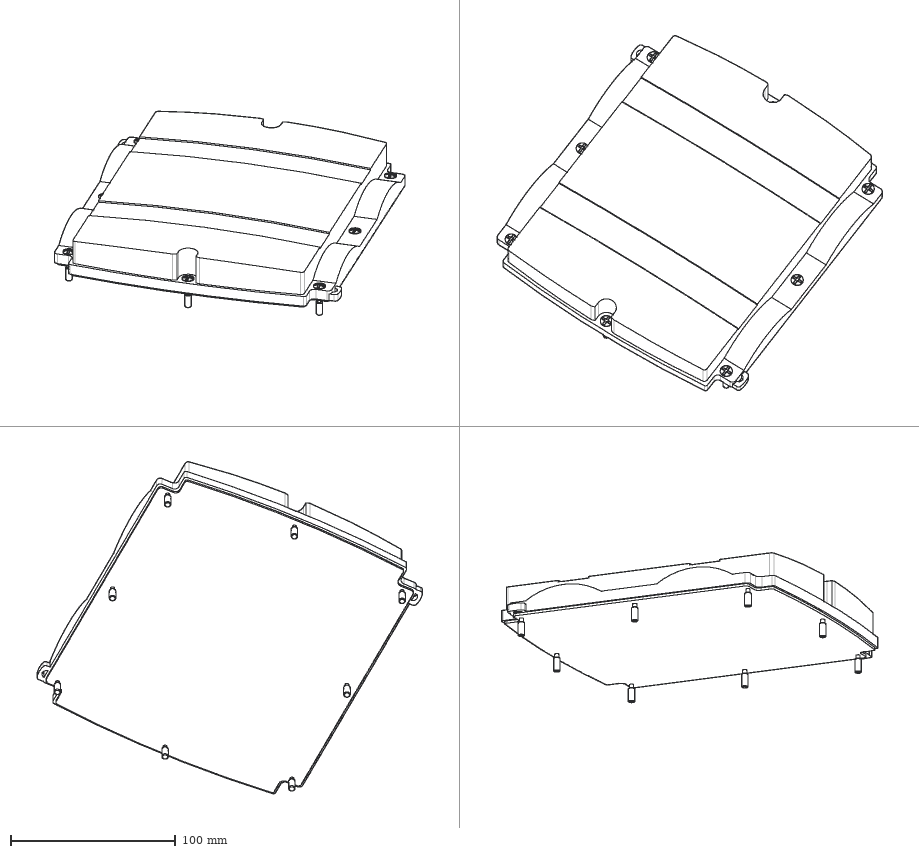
import cadquery as cq
import math

gasket_depth = 1.5
flange_top = 6.6
hump_top = 14.0
cover_crown = 24.5
cover_shoulder = 21.7
screw_tip = -12.5
thread_top = -3.7

body_half_x = 75.5
body_half_y = 95.31
body_bow = 3.75
ear_half_x = 88.0
ear_half_y = 80.5
body_corner_radius = 1.5
ear_corner_radius = 2.5
ear_web_radius = 3.0
gasket_inset = 1.4

cover_half_x = 73.4
cover_half_y = 93.6
cover_bow = 4.1
cover_corner_radius = 2.0
notch_radius = 6.0
notch_mouth_half = 9.5
notch_mouth_depth = 0.9
notch_mouth_bulge = 0.26

hump_center_y = 44.0
hump_half_length = 25.4
recess_width = 20.4
recess_depth = 1.0

side_screw_x = 79.5
corner_screw_y = 76.0
end_screw_y = 89.2
head_radius = 3.7
head_height = 1.4
head_rim_height = 0.4
thread_radius = 2.0
thread_chamfer = 0.5
neck_radius = 1.3
cross_length = 6.4
cross_width = 1.2
cross_depth = 1.0

lug_tip_x = 92.5
lug_center_y = 74.5
lug_half_y = 5.6
lug_height = 4.5
lug_tip_bow = 1.0
lug_corner_radius = 2.0
lug_hole_x = 87.6
lug_hole_radius = 2.7


def bowed_slab(half_x, half_y, bow, bottom, top):
    """Slab with straight X sides and outward-bowed Y ends."""
    corner_y = half_y - bow
    return (
        cq.Workplane("XY", origin=(0, 0, bottom))
        .moveTo(-half_x, -corner_y)
        .threePointArc((0, -half_y), (half_x, -corner_y))
        .lineTo(half_x, corner_y)
        .threePointArc((0, half_y), (-half_x, corner_y))
        .close()
        .extrude(top - bottom)
    )


def flange_plate(inset, bottom, top):
    """Bowed body joined to the ears, with every outline set in by the given amount."""
    thickness = top - bottom
    body = bowed_slab(body_half_x - inset, body_half_y - inset, body_bow, bottom, top)
    body = body.edges("|Z").fillet(body_corner_radius)
    ears = (
        cq.Workplane("XY", origin=(0, 0, bottom))
        .rect(2 * (ear_half_x - inset), 2 * (ear_half_y - inset))
        .extrude(thickness)
        .edges("|Z")
        .fillet(ear_corner_radius)
    )
    plate = body.union(ears)
    for side_x in (-1, 1):
        for side_y in (-1, 1):
            corner_x = side_x * (body_half_x - inset)
            corner_y = side_y * (ear_half_y - inset)
            reach = ear_web_radius * (1 - math.sqrt(0.5))
            corner_web = (
                cq.Workplane("XY", origin=(0, 0, bottom))
                .moveTo(corner_x, corner_y)
                .lineTo(corner_x + side_x * ear_web_radius, corner_y)
                .threePointArc(
                    (corner_x + side_x * reach, corner_y + side_y * reach),
                    (corner_x, corner_y + side_y * ear_web_radius),
                )
                .close()
                .extrude(thickness)
            )
            plate = plate.union(corner_web)
    return plate


def hump(center_y):
    """Arched rise across the full width of the ears."""
    return (
        cq.Workplane("YZ", origin=(-ear_half_x, 0, 0))
        .moveTo(center_y - hump_half_length, flange_top)
        .threePointArc((center_y, hump_top), (center_y + hump_half_length, flange_top))
        .close()
        .extrude(2 * ear_half_x)
    )


def crowned_block(drop, center_y, length):
    """Block under the crowned cover surface, lowered by the given drop."""
    return (
        cq.Workplane("XZ", origin=(0, center_y + length / 2, 0))
        .moveTo(-cover_half_x, 0)
        .lineTo(-cover_half_x, cover_shoulder - drop)
        .threePointArc((0, cover_crown - drop), (cover_half_x, cover_shoulder - drop))
        .lineTo(cover_half_x, 0)
        .close()
        .extrude(length)
    )


def screw_notch():
    """Round-bottomed notch in the +Y cover end, with a rounded, flared mouth."""
    throat_y = cover_half_y - notch_mouth_depth
    return (
        cq.Workplane("XY", origin=(0, 0, flange_top))
        .moveTo(-notch_mouth_half, cover_half_y)
        .sagittaArc((-notch_radius, throat_y), notch_mouth_bulge)
        .lineTo(-notch_radius, end_screw_y)
        .threePointArc((0, end_screw_y - notch_radius), (notch_radius, end_screw_y))
        .lineTo(notch_radius, throat_y)
        .sagittaArc((notch_mouth_half, cover_half_y), notch_mouth_bulge)
        .close()
        .extrude(cover_crown - flange_top)
    )


def make_cover():
    """Crowned, bowed cover with two label recesses and two screw notches."""
    cover = bowed_slab(cover_half_x, cover_half_y, cover_bow, 0, cover_crown)
    cover = cover.edges("|Z").fillet(cover_corner_radius)
    cover = cover.intersect(crowned_block(0, 0, 2 * cover_half_y))
    for center_y in (-hump_center_y, hump_center_y):
        full_band = crowned_block(0, center_y, recess_width)
        recess = full_band.cut(crowned_block(recess_depth, center_y, recess_width))
        cover = cover.cut(recess)
    notch = screw_notch()
    return cover.cut(notch).cut(notch.mirror("XZ"))


def lug():
    """Lug with a bowed tip and a hole, at the -X, +Y corner."""
    shoulder_x = lug_tip_x - lug_tip_bow
    bottom_y = lug_center_y - lug_half_y
    top_y = lug_center_y + lug_half_y
    plate = (
        cq.Workplane("XY")
        .moveTo(-body_half_x, bottom_y)
        .lineTo(-shoulder_x, bottom_y)
        .threePointArc((-lug_tip_x, lug_center_y), (-shoulder_x, top_y))
        .lineTo(-body_half_x, top_y)
        .close()
        .extrude(lug_height)
        .edges("|Z and (not >X)")
        .fillet(lug_corner_radius)
    )
    hole = (
        cq.Workplane("XY")
        .center(-lug_hole_x, lug_center_y)
        .circle(lug_hole_radius)
        .extrude(lug_height)
    )
    return plate.cut(hole)


def make_screw():
    """Cross-recessed screw on the Z axis, its head seated on the flange."""
    head_top = flange_top + head_height
    rim_top = flange_top + head_rim_height
    dome_height = head_top - rim_top
    dome_radius = (head_radius**2 + dome_height**2) / (2 * dome_height)
    head = (
        cq.Workplane("XZ")
        .moveTo(0, flange_top)
        .lineTo(head_radius, flange_top)
        .lineTo(head_radius, rim_top)
        .radiusArc((0, head_top), -dome_radius)
        .close()
        .revolve(360, (0, 0, 0), (0, 1, 0))
    )
    cross = cq.Workplane("XY", origin=(0, 0, head_top - cross_depth))
    for size_x, size_y in ((cross_length, cross_width), (cross_width, cross_length)):
        head = head.cut(cross.rect(size_x, size_y).extrude(cross_depth))
    neck = cq.Workplane("XY", origin=(0, 0, thread_top)).circle(neck_radius).extrude(-thread_top)
    thread = (
        cq.Workplane("XY", origin=(0, 0, screw_tip))
        .circle(thread_radius)
        .extrude(thread_top - screw_tip)
        .edges()
        .chamfer(thread_chamfer)
    )
    return head.union(neck).union(thread)


result = flange_plate(0, 0, flange_top).union(flange_plate(gasket_inset, -gasket_depth, 0))
for hump_y in (-hump_center_y, hump_center_y):
    result = result.union(hump(hump_y))

result = result.union(make_cover())

corner_lug = lug()
for turn in (0, 180):
    result = result.union(corner_lug.rotate((0, 0, 0), (0, 0, 1), turn))

screw_places = [(0, -end_screw_y), (0, end_screw_y)]
for screw_x in (-side_screw_x, side_screw_x):
    for screw_y in (-corner_screw_y, 0, corner_screw_y):
        screw_places.append((screw_x, screw_y))
screw = make_screw()
for screw_x, screw_y in screw_places:
    result = result.union(screw.translate((screw_x, screw_y, 0)))